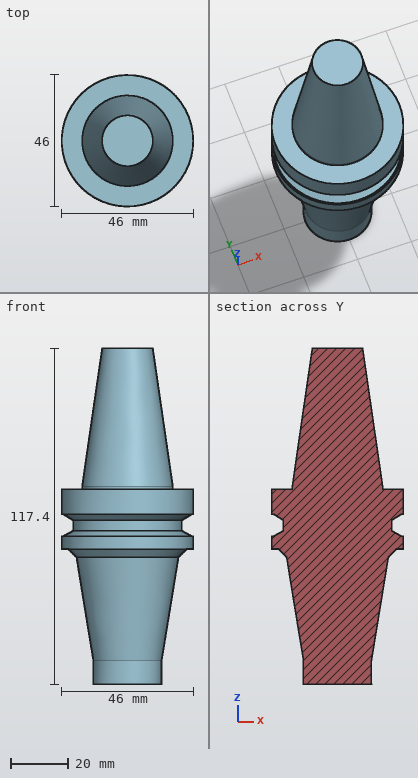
import cadquery as cq

total_length = 117.4
flange_radius = 46.0 / 2

nose_radius = 24.0 / 2
nose_length = 8.5
body_top_radius = 35.7 / 2
body_top_z = 44.4

lower_rim_bottom_z = 47.2
lower_rim_top_z = 51.8
upper_rim_bottom_z = 59.4
flange_top_z = 68.2
collar_radius = 41.3 / 2
groove_mouth_radius = 44.8 / 2
groove_radius = 38.0 / 2
groove_bottom_z = 53.7
groove_top_z = 57.3

shank_radius = 31.7 / 2
shank_tip_radius = 17.7 / 2
land_length = 1.0

profile = [
    (0, 0),
    (nose_radius, 0),
    (nose_radius, nose_length),
    (body_top_radius, body_top_z),
    (collar_radius, lower_rim_bottom_z),
    (flange_radius, lower_rim_bottom_z),
    (flange_radius, lower_rim_top_z),
    (groove_mouth_radius, lower_rim_top_z),
    (groove_radius, groove_bottom_z),
    (groove_radius, groove_top_z),
    (groove_mouth_radius, upper_rim_bottom_z),
    (flange_radius, upper_rim_bottom_z),
    (flange_radius, flange_top_z),
    (shank_radius, flange_top_z),
    (shank_radius, flange_top_z + land_length),
    (shank_tip_radius, total_length),
    (0, total_length),
]

result = cq.Workplane("XZ").polyline(profile).close().revolve(360, (0, 0, 0), (0, 1, 0))